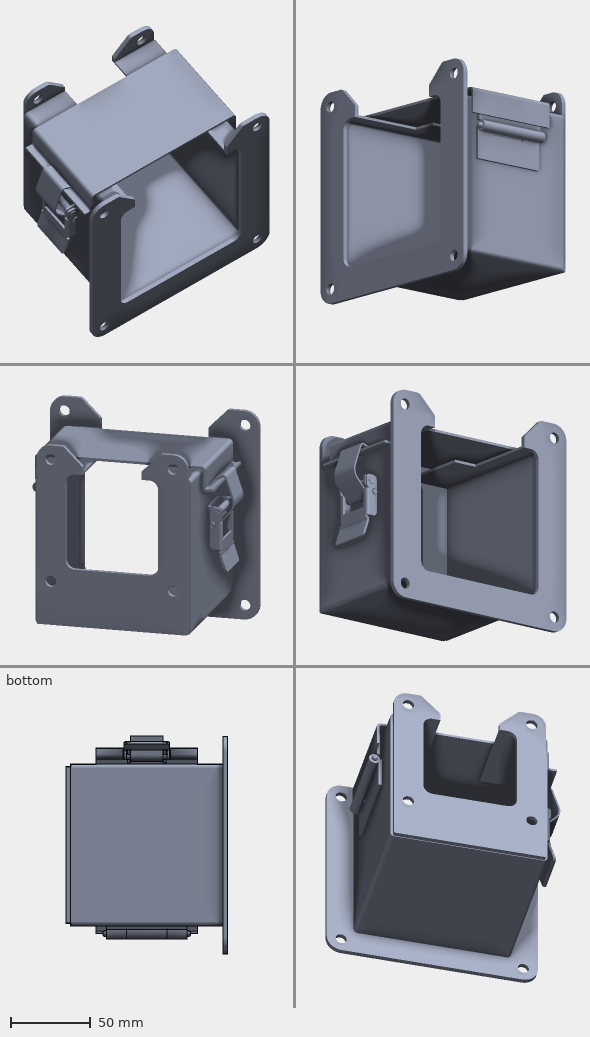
import cadquery as cq
import math

LENGTH = 101.6
PLATE_THICKNESS = 3.0
TUBE_HALF_WIDTH = 50.9
TUBE_TOP = 49.8
TUBE_BOTTOM = -52.0
TUBE_WALL = 1.6
TUBE_CORNER_RADIUS = 2.7
TUBE_INNER_RADIUS = TUBE_CORNER_RADIUS - TUBE_WALL
TUBE_INNER_TOP = TUBE_TOP - TUBE_WALL
TUBE_INNER_BOTTOM = TUBE_BOTTOM + TUBE_WALL
TUBE_INNER_HALF_WIDTH = TUBE_HALF_WIDTH - TUBE_WALL

MOUNTING_HOLE_DIAMETER = 7.1
HORN_SLOPE = 12.6
HORN_TOP_RADIUS = 3.0
HORN_OVERHANG = 11.1
WINDOW_CORNER_RADIUS = 6.0

SMALL_PLATE_HALF_WIDTH = TUBE_INNER_HALF_WIDTH
SMALL_PLATE_TOP = 65.9
SMALL_PLATE_BOTTOM = TUBE_BOTTOM + 0.4
SMALL_PLATE_TOP_RADIUS = 9.0
SMALL_PLATE_BOTTOM_RADIUS = 1.0
SMALL_HORN_TIP = 19.1
SMALL_WINDOW_BOTTOM = -14.2
SMALL_HOLE_Y = 39.9
SMALL_HOLE_HEIGHTS = (56.7, -23.1)

BIG_PLATE_WIDTH = 136.6
BIG_PLATE_HALF_WIDTH = BIG_PLATE_WIDTH / 2
BIG_PLATE_CORNER_RADIUS = 10.0
BIG_HORN_TIP = 35.3
BIG_WINDOW_BOTTOM = TUBE_INNER_BOTTOM + 2.7
BIG_HOLE_OFFSET = 58.9

COVER_LENGTH = 64.0
COVER_SHEET = 1.6
COVER_TOP = 54.1
COVER_HALF_WIDTH = 55.6
COVER_BEND_RADIUS = 1.8
COVER_REAR_BOTTOM = 37.5
LIP_BOTTOM = 37.6
LIP_END_Y = -60.8
LIP_RISE = 0.5

HINGE_LENGTH = 50.6
HINGE_MIDDLE_LENGTH = 25.4
LEAF_THICKNESS = 2.0
KNUCKLE_DIAMETER = 7.1
HINGE_PIN_DIAMETER = 4.0
HINGE_PIN_LENGTH = 55.2
HINGE_PIN_END_RADIUS = 1.8
COVER_LEAF_OUTER_Y = COVER_HALF_WIDTH - COVER_SHEET
COVER_LEAF_TOP = 50.9
HINGE_AXIS_Y = COVER_LEAF_OUTER_Y - LEAF_THICKNESS + KNUCKLE_DIAMETER / 2
HINGE_AXIS_Z = 30.1
KNUCKLE_CLEARANCE = 0.5
HOUSING_LEAF_BOTTOM = 9.2

LATCH_SHEET = 1.5
LEVER_HALF_WIDTH = 14.4
LEVER_FRONT_Y = -61.2
LEVER_BACK_Y = -53.6
LEVER_EAR_TOP = 22.0
LEVER_EAR_BACK_RADIUS = 3.8
EAR_TOP_RADIUS = 1.6
EAR_BOTTOM_RADIUS = 2.0
LEVER_FRONT_TOP = 13.0
LEVER_SIDE_BOTTOM = -4.8
LEVER_SIDE_CORNER_RADIUS = 2.7
LEVER_BEND_RADIUS = 1.8
LEVER_SLOT_HALF_WIDTH = 10.8
LEVER_SLOT_BOTTOM = 0.8
LEVER_NECK_HALF_WIDTH = 12.6
LEVER_NECK_BOTTOM = -6.4
HANDLE_BEND_Z = -8.7
HANDLE_BEND_RADIUS = 1.0
HANDLE_END_Y = -64.3
HANDLE_END_Z = -19.5
HANDLE_CORNER_RADIUS = 3.0

LEVER_PIN_DIAMETER = 4.8
LEVER_PIN_Y = (LEVER_FRONT_Y + LEVER_BACK_Y) / 2
LEVER_PIN_Z = 18.2
HOOK_PIN_DIAMETER = 3.3
HOOK_PIN_HOLE_DIAMETER = 4.1
HOOK_PIN_Y = -55.2
HOOK_PIN_Z = 11.1
LATCH_PIN_OVERHANG = 0.5

BASE_EAR_HALF_WIDTH = 12.2
BASE_EAR_HALF_HEIGHT = 4.0
BASE_PLATE_HALF_WIDTH = 10.3
BASE_PLATE_BOTTOM = -0.7
BASE_BEND_RADIUS = 2.0

HOOK_WIDTH = 20.5
HOOK_SHEET = 1.1
HOOK_TIP = (-56.6, 40.6)
HOOK_CREST = (-62.3, 43.2)
HOOK_CREST_RADIUS = 1.9
HOOK_ELBOW = (-69.2, 22.8)
HOOK_ELBOW_RADIUS = 9.0
HOOK_LOOP_TURN = math.radians(130)


def block(x_range, y_range, z_range):
    """Axis-aligned block between the given limits."""
    size = [high - low for low, high in (x_range, y_range, z_range)]
    low_corner = (x_range[0], y_range[0], z_range[0])
    return cq.Workplane("XY").box(*size, centered=False).translate(low_corner)


def rod(diameter, length, y, z):
    """Cylinder along X, centred on X = 0."""
    return cq.Workplane("YZ").center(y, z).circle(diameter / 2).extrude(length / 2, both=True)


def bent_sheet(corners, radii, thickness, width, loop=None):
    """Sheet along X whose middle line follows the (y, z) corners, rounded by the given radii.

    An optional loop (center_y, center_z, turn) continues the last leg as an arc around a centre.
    """
    path = cq.Workplane("YZ").moveTo(*corners[0])
    for before, corner, after, radius in zip(corners, corners[1:], corners[2:], radii):
        to_before = cq.Vector(*before).sub(cq.Vector(*corner)).normalized()
        to_after = cq.Vector(*after).sub(cq.Vector(*corner)).normalized()
        half_angle = to_before.getAngle(to_after) / 2
        setback = radius / math.tan(half_angle)
        bisector = to_before.add(to_after).normalized()
        depth = radius / math.sin(half_angle) - radius
        start = cq.Vector(*corner).add(to_before.multiply(setback))
        middle = cq.Vector(*corner).add(bisector.multiply(depth))
        end = cq.Vector(*corner).add(to_after.multiply(setback))
        path = path.lineTo(start.x, start.y)
        path = path.threePointArc((middle.x, middle.y), (end.x, end.y))
    path = path.lineTo(*corners[-1])
    if loop:
        center_y, center_z, turn = loop
        radius = math.dist(corners[-1], (center_y, center_z))
        first = math.atan2(corners[-1][1] - center_z, corners[-1][0] - center_y)
        middle, end = [
            (center_y + radius * math.cos(angle), center_z + radius * math.sin(angle))
            for angle in (first + turn / 2, first + turn)
        ]
        path = path.threePointArc(middle, end)
    start_point = cq.Vector(0, *corners[0])
    direction = cq.Vector(0, *corners[1]).sub(start_point)
    section = cq.Plane(origin=start_point, xDir=(1, 0, 0), normal=direction)
    return cq.Workplane(section).rect(width, thickness).sweep(path)


def flange_plate(half_width, bottom, top, top_radius, bottom_radius, horn_tip, window_bottom, x_start):
    """End plate with a window that opens upward between two sloped horns."""
    x_range = (x_start, x_start + PLATE_THICKNESS)
    plate = block(x_range, (-half_width, half_width), (bottom, top))
    plate = plate.edges("|X and >Z").fillet(top_radius)
    plate = plate.edges("|X and <Z").fillet(bottom_radius)

    window_half_width = horn_tip + HORN_OVERHANG
    window = block(x_range, (-window_half_width, window_half_width), (window_bottom, TUBE_INNER_TOP))
    window = window.edges("|X").fillet(WINDOW_CORNER_RADIUS)

    slope_bottom = top - HORN_SLOPE
    right_side = [
        (horn_tip, TUBE_INNER_TOP - WINDOW_CORNER_RADIUS),
        (horn_tip, slope_bottom),
        (horn_tip + HORN_SLOPE, top),
    ]
    left_side = [(-y, z) for y, z in reversed(right_side)]
    mouth = cq.Workplane("YZ").polyline(right_side + left_side).close().extrude(PLATE_THICKNESS)
    plate = plate.cut(window).cut(mouth.translate((x_start, 0, 0)))
    for side in (-1, 1):
        horn_corner = (x_start + PLATE_THICKNESS / 2, side * (horn_tip + HORN_SLOPE), top)
        plate = plate.edges(cq.NearestToPointSelector(horn_corner)).fillet(HORN_TOP_RADIUS)
    return plate


def mounting_holes(y_half_spacing, heights):
    points = [(y, z) for y in (-y_half_spacing, y_half_spacing) for z in heights]
    holes = cq.Workplane("YZ").pushPoints(points).circle(MOUNTING_HOLE_DIAMETER / 2)
    return holes.extrude(PLATE_THICKNESS)


def make_housing():
    left_end = -LENGTH / 2
    right_plate_start = LENGTH / 2 - PLATE_THICKNESS
    tube_range = (left_end + PLATE_THICKNESS, right_plate_start)

    tube = block(tube_range, (-TUBE_HALF_WIDTH, TUBE_HALF_WIDTH), (TUBE_BOTTOM, TUBE_TOP))
    tube = tube.edges("|X").fillet(TUBE_CORNER_RADIUS)
    bore = block(
        tube_range,
        (-TUBE_INNER_HALF_WIDTH, TUBE_INNER_HALF_WIDTH),
        (TUBE_INNER_BOTTOM, TUBE_INNER_TOP),
    )
    tube = tube.cut(bore.edges("|X").fillet(TUBE_INNER_RADIUS))

    top_range = (TUBE_INNER_TOP, TUBE_TOP)
    tube = tube.cut(block((tube_range[0], 0), (-SMALL_HORN_TIP, SMALL_HORN_TIP), top_range))
    tube = tube.cut(block((0, tube_range[1]), (-BIG_HORN_TIP, BIG_HORN_TIP), top_range))

    small_plate = flange_plate(
        SMALL_PLATE_HALF_WIDTH, SMALL_PLATE_BOTTOM, SMALL_PLATE_TOP,
        SMALL_PLATE_TOP_RADIUS, SMALL_PLATE_BOTTOM_RADIUS,
        SMALL_HORN_TIP, SMALL_WINDOW_BOTTOM, left_end,
    )
    small_holes = mounting_holes(SMALL_HOLE_Y, SMALL_HOLE_HEIGHTS)
    small_plate = small_plate.cut(small_holes.translate((left_end, 0, 0)))

    big_plate = flange_plate(
        BIG_PLATE_HALF_WIDTH, -BIG_PLATE_HALF_WIDTH, BIG_PLATE_HALF_WIDTH,
        BIG_PLATE_CORNER_RADIUS, BIG_PLATE_CORNER_RADIUS,
        BIG_HORN_TIP, BIG_WINDOW_BOTTOM, right_plate_start,
    )
    big_holes = mounting_holes(BIG_HOLE_OFFSET, (-BIG_HOLE_OFFSET, BIG_HOLE_OFFSET))
    big_plate = big_plate.cut(big_holes.translate((right_plate_start, 0, 0)))
    return tube.union(small_plate).union(big_plate)


def make_cover():
    half_sheet = COVER_SHEET / 2
    side_y = COVER_HALF_WIDTH - half_sheet
    top_z = COVER_TOP - half_sheet
    lip_z = LIP_BOTTOM + half_sheet
    corners = [
        (side_y, COVER_REAR_BOTTOM),
        (side_y, top_z),
        (-side_y, top_z),
        (-side_y, lip_z),
        (LIP_END_Y, lip_z + LIP_RISE),
    ]
    return bent_sheet(corners, [COVER_BEND_RADIUS] * 3, COVER_SHEET, COVER_LENGTH)


def hinge_span(x_range):
    """Block around the whole hinge between two X limits, for splitting knuckles."""
    reach = KNUCKLE_DIAMETER / 2 + KNUCKLE_CLEARANCE
    y_range = (TUBE_HALF_WIDTH, HINGE_AXIS_Y + reach)
    return block(x_range, y_range, (HINGE_AXIS_Z - reach, HINGE_AXIS_Z + reach))


def hinge_leaf(y_inner, z_range):
    """Full-length leaf with a full-length knuckle, bored for the pin."""
    x_range = (-HINGE_LENGTH / 2, HINGE_LENGTH / 2)
    leaf = block(x_range, (y_inner, y_inner + LEAF_THICKNESS), z_range)
    leaf = leaf.union(rod(KNUCKLE_DIAMETER, HINGE_LENGTH, HINGE_AXIS_Y, HINGE_AXIS_Z))
    return leaf.cut(rod(HINGE_PIN_DIAMETER, HINGE_LENGTH, HINGE_AXIS_Y, HINGE_AXIS_Z))


def make_cover_leaf():
    leaf = hinge_leaf(COVER_LEAF_OUTER_Y - LEAF_THICKNESS, (HINGE_AXIS_Z, COVER_LEAF_TOP))
    left_end = hinge_span((-HINGE_LENGTH / 2, -HINGE_MIDDLE_LENGTH / 2))
    right_end = hinge_span((HINGE_MIDDLE_LENGTH / 2, HINGE_LENGTH / 2))
    return leaf.cut(left_end).cut(right_end)


def make_housing_leaf():
    leaf = hinge_leaf(TUBE_HALF_WIDTH, (HOUSING_LEAF_BOTTOM, HINGE_AXIS_Z))
    return leaf.cut(hinge_span((-HINGE_MIDDLE_LENGTH / 2, HINGE_MIDDLE_LENGTH / 2)))


def make_hinge_pin():
    pin = rod(HINGE_PIN_DIAMETER, HINGE_PIN_LENGTH, HINGE_AXIS_Y, HINGE_AXIS_Z)
    return pin.faces("<X or >X").edges().fillet(HINGE_PIN_END_RADIUS)


def make_latch_pin(diameter, y, z):
    """Plain pin that stands slightly out of both sides of the lever."""
    return rod(diameter, 2 * (LEVER_HALF_WIDTH + LATCH_PIN_OVERHANG), y, z)


def make_lever_pin():
    return make_latch_pin(LEVER_PIN_DIAMETER, LEVER_PIN_Y, LEVER_PIN_Z)


def make_hook_pin():
    return make_latch_pin(HOOK_PIN_DIAMETER, HOOK_PIN_Y, HOOK_PIN_Z)


def make_base():
    """Plate on the tube with an ear bent out on each side to carry the lever pin."""
    tube_face = -TUBE_HALF_WIDTH
    ear_z_range = (LEVER_PIN_Z - BASE_EAR_HALF_HEIGHT, LEVER_PIN_Z + BASE_EAR_HALF_HEIGHT)
    bracket = block((-BASE_EAR_HALF_WIDTH, BASE_EAR_HALF_WIDTH), (LEVER_FRONT_Y, tube_face), ear_z_range)
    bracket = bracket.edges("|Z and >Y").fillet(BASE_BEND_RADIUS)
    bracket = bracket.edges("|X and <Y and >Z").fillet(EAR_TOP_RADIUS)
    bracket = bracket.edges("|X and <Y and <Z").fillet(EAR_BOTTOM_RADIUS)

    inner_half_width = BASE_EAR_HALF_WIDTH - LATCH_SHEET
    plate_front = tube_face - LATCH_SHEET
    gap = block((-inner_half_width, inner_half_width), (LEVER_FRONT_Y, plate_front), ear_z_range)
    gap = gap.edges("|Z and >Y").fillet(BASE_BEND_RADIUS - LATCH_SHEET)
    plate = block(
        (-BASE_PLATE_HALF_WIDTH, BASE_PLATE_HALF_WIDTH),
        (plate_front, tube_face),
        (BASE_PLATE_BOTTOM, LEVER_PIN_Z),
    )
    return bracket.cut(gap).union(plate).cut(make_lever_pin())


def lever_channel():
    """Side flanges and front of the lever, bent from one sheet and open at the back."""
    x_range = (-LEVER_HALF_WIDTH, LEVER_HALF_WIDTH)
    channel = block(x_range, (LEVER_FRONT_Y, LEVER_BACK_Y), (LEVER_SIDE_BOTTOM, LEVER_FRONT_TOP))
    channel = channel.edges("|Z and <Y").fillet(LEVER_BEND_RADIUS)
    channel = channel.edges("|X and >Y and <Z").fillet(LEVER_SIDE_CORNER_RADIUS)
    ears = block(x_range, (LEVER_FRONT_Y, LEVER_BACK_Y), (LEVER_FRONT_TOP, LEVER_EAR_TOP))
    ears = ears.edges("|X and >Y and >Z").fillet(LEVER_EAR_BACK_RADIUS)
    ears = ears.edges("|X and <Y and >Z").fillet(EAR_TOP_RADIUS)
    ears = ears.edges("|X and <Y and <Z").fillet(EAR_BOTTOM_RADIUS)

    inner_half_width = LEVER_HALF_WIDTH - LATCH_SHEET
    inner_x = (-inner_half_width, inner_half_width)
    inner_front_y = LEVER_FRONT_Y + LATCH_SHEET
    inside = block(inner_x, (inner_front_y, LEVER_BACK_Y), (LEVER_SIDE_BOTTOM, LEVER_FRONT_TOP))
    inside = inside.edges("|Z and <Y").fillet(LEVER_BEND_RADIUS - LATCH_SHEET)
    ear_gap = block(inner_x, (LEVER_FRONT_Y, LEVER_BACK_Y), (LEVER_FRONT_TOP, LEVER_EAR_TOP))
    return channel.cut(inside).union(ears.cut(ear_gap))


def make_lever():
    """Channel with a slot for the hook, a narrow neck and a handle that slants outward."""
    middle_y = LEVER_FRONT_Y + LATCH_SHEET / 2
    corners = [(middle_y, LEVER_SIDE_BOTTOM), (middle_y, HANDLE_BEND_Z), (HANDLE_END_Y, HANDLE_END_Z)]
    handle = bent_sheet(corners, [HANDLE_BEND_RADIUS], LATCH_SHEET, 2 * LEVER_HALF_WIDTH)
    rounding = block(
        (-LEVER_HALF_WIDTH, LEVER_HALF_WIDTH),
        (HANDLE_END_Y - LATCH_SHEET, LEVER_BACK_Y),
        (HANDLE_END_Z - LATCH_SHEET / 4, LEVER_SIDE_BOTTOM),
    )
    handle = handle.intersect(rounding.edges("|Y and <Z").fillet(HANDLE_CORNER_RADIUS))
    lever = lever_channel().union(handle)

    for side in (-1, 1):
        x_range = sorted((side * LEVER_NECK_HALF_WIDTH, side * LEVER_HALF_WIDTH))
        notch = block(x_range, (LEVER_FRONT_Y, LEVER_BACK_Y), (LEVER_NECK_BOTTOM, LEVER_SIDE_BOTTOM))
        lever = lever.cut(notch)

    slot = block(
        (-LEVER_SLOT_HALF_WIDTH, LEVER_SLOT_HALF_WIDTH),
        (LEVER_FRONT_Y, LEVER_BACK_Y),
        (LEVER_SLOT_BOTTOM, LEVER_FRONT_TOP),
    )
    hook_pin_holes = rod(HOOK_PIN_HOLE_DIAMETER, 2 * LEVER_HALF_WIDTH, HOOK_PIN_Y, HOOK_PIN_Z)
    return lever.cut(slot).cut(make_lever_pin()).cut(hook_pin_holes)


def make_hook():
    """Strip that hooks over the cover lip, bows outward and curls around the hook pin."""
    loop_radius = (HOOK_PIN_DIAMETER + HOOK_SHEET) / 2
    dy = HOOK_ELBOW[0] - HOOK_PIN_Y
    dz = HOOK_ELBOW[1] - HOOK_PIN_Z
    tangent_angle = math.atan2(dz, dy) + math.acos(loop_radius / math.hypot(dy, dz))
    tangent_point = (
        HOOK_PIN_Y + loop_radius * math.cos(tangent_angle),
        HOOK_PIN_Z + loop_radius * math.sin(tangent_angle),
    )
    corners = [HOOK_TIP, HOOK_CREST, HOOK_ELBOW, tangent_point]
    radii = [HOOK_CREST_RADIUS, HOOK_ELBOW_RADIUS]
    loop = (HOOK_PIN_Y, HOOK_PIN_Z, HOOK_LOOP_TURN)
    return bent_sheet(corners, radii, HOOK_SHEET, HOOK_WIDTH, loop)


housing = make_housing()
cover = make_cover()
cover_leaf = make_cover_leaf()
housing_leaf = make_housing_leaf()
hinge_pin = make_hinge_pin()
latch_base = make_base()
latch_lever = make_lever()
lever_pin = make_lever_pin()
hook_pin = make_hook_pin()
latch_hook = make_hook()

bodies = [
    housing, cover, cover_leaf, housing_leaf, hinge_pin,
    latch_base, latch_lever, lever_pin, hook_pin, latch_hook,
]
result = cq.Compound.makeCompound([body.val() for body in bodies])